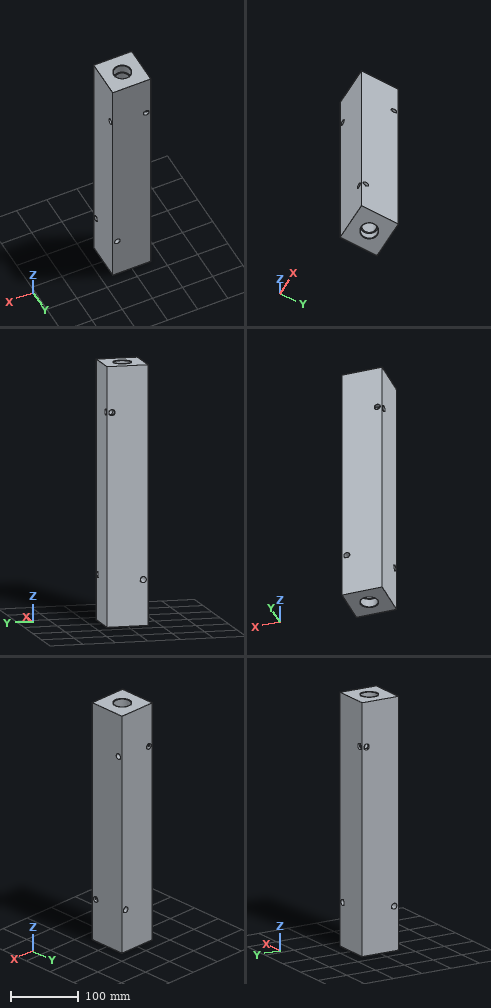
import cadquery as cq

bar_length = 393.7
bar_side = 63.5

bore_diameter = 22.5
counterbore_diameter = 26.5
counterbore_depth = 14.0
mouth_chamfer = 0.8

cross_hole_diameter = 9.0
cross_hole_offset = 24.0
cross_hole_end_distance = 69.5
lower_hole_height = cross_hole_end_distance
upper_hole_height = bar_length - cross_hole_end_distance


def bore_end(bar, end_face):
    """Counterbore the bore at one end of the bar and chamfer its mouth."""
    counterbored = (
        bar.faces(end_face)
        .workplane(centerOption="CenterOfBoundBox")
        .circle(counterbore_diameter / 2)
        .cutBlind(-counterbore_depth)
    )
    return counterbored.faces(end_face).edges("%CIRCLE").chamfer(mouth_chamfer)


def cross_hole(plane, across, height):
    """Cylinder through the whole bar, normal to the given plane."""
    return (
        cq.Workplane(plane)
        .center(across, height)
        .circle(cross_hole_diameter / 2)
        .extrude(bar_side, both=True)
    )


bar = cq.Workplane("XY").rect(bar_side, bar_side).extrude(bar_length)
bar = bar.faces(">Z").workplane().hole(bore_diameter)

for end_face in (">Z", "<Z"):
    bar = bore_end(bar, end_face)

bar = bar.cut(cross_hole("XZ", -cross_hole_offset, upper_hole_height))
bar = bar.cut(cross_hole("XZ", cross_hole_offset, lower_hole_height))

bar = bar.cut(cross_hole("YZ", cross_hole_offset, upper_hole_height))
bar = bar.cut(cross_hole("YZ", -cross_hole_offset, lower_hole_height))

result = bar